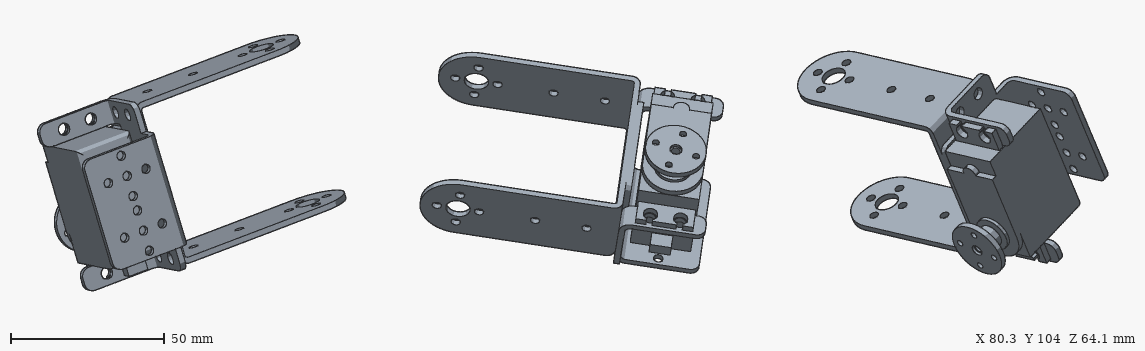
import cadquery as cq
import math

ASSEMBLY_X_AXIS = (-0.4776, 0.2036, 0.8546)
SHAFT_AXIS = (-0.7510, 0.4102, -0.5174)

SHEET = 2.0

U_WIDTH = 56.0
ARM_WIDTH = 25.0
ARM_INNER_BEND = 1.0
ARM_END_HOLE_Y = 53.0
ARM_END_HOLE_DIAMETER = 8.0
ARM_HOLE_DIAMETER = 3.0
ARM_RING_RADIUS = 7.0
ARM_HOLE_Y = (10.5, 27.5)

BRACKET_LENGTH = 58.0
BRACKET_BOTTOM_Z = -16.5
BRACKET_BEND = 2.0
BRACKET_CORNER = 3.0
ROW_Y = -14.4
STEM_WIDTH = 38.2
FLANGE_OUTER_Z = -26.0
FLANGE_END_Y = -28.0
FLANGE_HOLE_DIAMETER = 3.0
FLANGE_ROW_X = (2.5, 9.5, 16.5)
FLANGE_PAIR_X = 9.5
FLANGE_HOLE_PITCH = 7.0
EAR_WIDTH = 8.0
EAR_INNER_Z = 4.5
EAR_HOLE_DIAMETER = 4.0
EAR_HOLE_X = 25.0
EAR_HOLE_PITCH = 10.0
TONGUE_TOP_Z = ARM_WIDTH / 2
TONGUE_CORNER = 2.5
RELIEF_BOTTOM_Z = -0.4
BASE_HOLE_DIAMETER = 4.0
BASE_HOLE_Z = (0.5, -9.5)
STEM_HOLE_X = 10.4
STEM_HOLE_Z = -16.75
STEM_HOLE_DIAMETER = 3.2

SERVO_LENGTH = 41.0
SERVO_WIDTH = 20.0
SERVO_BACK_Z = -14.4
SERVO_FRONT_Z = 14.4
BACK_EDGE_RADIUS = 2.0
RAISED_HEIGHT = 2.0
RAISED_END_X = 14.4
RAISED_NUB_RADIUS = 2.7
TAB_SPAN = 55.8
TAB_WIDTH = 19.0
TAB_THICKNESS = 2.2
TAB_HOLE_DIAMETER = 4.6
TAB_SLOT_WIDTH = 2.0
CABLE_LENGTH = 5.0
CABLE_WIDTH = 7.0
CABLE_BOTTOM_Z = -10.3
CABLE_HEIGHT = 3.9

SHAFT_X = -10.4
BOSS_RADIUS = 6.2
BOSS_HEIGHT = 1.2
SPLINE_RADIUS = 3.0
HUB_RADIUS = 4.15
HUB_GAP = 0.4
HORN_RADIUS = 10.0
HORN_THICKNESS = 2.0
HORN_OUTER_Z = 25.85
HORN_RING_RADIUS = 7.0
HORN_RING_ANGLE = -13.0
HORN_HOLE_DIAMETER = 2.2
SCREW_RECESS_DIAMETER = 3.9
SCREW_RECESS_DEPTH = 1.0
SCREW_HOLE_DIAMETER = 2.8
SCREW_HOLE_DEPTH = 4.0


def block(x_range, y_range, z_range):
    """Box between the given limits."""
    sizes = [high - low for low, high in (x_range, y_range, z_range)]
    corner = (x_range[0], y_range[0], z_range[0])
    return cq.Workplane("XY").box(*sizes, centered=False).translate(corner)


def rod(axis, centre, diameter, length):
    """Cylinder centred on a point, its axis along "X", "Y" or "Z"."""
    plane = {"X": "YZ", "Y": "XZ", "Z": "XY"}[axis]
    return cq.Workplane(plane).circle(diameter / 2).extrude(length / 2, both=True).translate(centre)


def disc(radius, z_range):
    """Disc on the shaft axis."""
    return rod("Z", (SHAFT_X, ROW_Y, sum(z_range) / 2), 2 * radius, z_range[1] - z_range[0])


def u_bracket():
    half = U_WIDTH / 2
    tip_y = ARM_END_HOLE_Y + ARM_WIDTH / 2
    outer_bend = ARM_INNER_BEND + SHEET
    outer = block((-half, half), (0, tip_y), (-ARM_WIDTH / 2, ARM_WIDTH / 2))
    outer = outer.edges("|Z and <Y").fillet(outer_bend)
    inner_half = half - SHEET
    inner = block((-inner_half, inner_half), (SHEET, tip_y + SHEET), (-ARM_WIDTH, ARM_WIDTH))
    inner = inner.edges("|Z and <Y").fillet(ARM_INNER_BEND)
    bracket = outer.cut(inner).edges("|X and >Y").fillet(ARM_WIDTH / 2 - 0.001)

    centres = [(y, 0) for y in ARM_HOLE_Y]
    for step in range(4):
        angle = math.radians(90 * step)
        y = ARM_END_HOLE_Y + ARM_RING_RADIUS * math.cos(angle)
        centres.append((y, ARM_RING_RADIUS * math.sin(angle)))
    bracket = bracket.cut(rod("X", (0, ARM_END_HOLE_Y, 0), ARM_END_HOLE_DIAMETER, 2 * U_WIDTH))
    for y, z in centres:
        bracket = bracket.cut(rod("X", (0, y, z), ARM_HOLE_DIAMETER, 2 * U_WIDTH))
    return bracket


def folded_leaf(x_range, inner_z, end_y, away):
    """Leaf bent from the bracket base towards -y, inner face at inner_z; away is the outward z sign."""
    inner_bend = BRACKET_BEND
    outer_bend = BRACKET_BEND + SHEET
    outer_z = inner_z + away * SHEET
    bend_z = inner_z - away * inner_bend
    bend_y = -outer_bend
    diagonal = math.sqrt(0.5)
    outer_middle = (bend_y + outer_bend * diagonal, bend_z + away * outer_bend * diagonal)
    inner_middle = (bend_y + inner_bend * diagonal, bend_z + away * inner_bend * diagonal)
    profile = (
        cq.Workplane("YZ", origin=(x_range[0], 0, 0))
        .moveTo(0, bend_z)
        .threePointArc(outer_middle, (bend_y, outer_z))
        .lineTo(end_y, outer_z)
        .lineTo(end_y, inner_z)
        .lineTo(bend_y, inner_z)
        .threePointArc(inner_middle, (-SHEET, bend_z))
        .close()
    )
    leaf = profile.extrude(x_range[1] - x_range[0])
    return leaf.edges("|Z and <Y").fillet(BRACKET_CORNER)


def bracket_base():
    half = BRACKET_LENGTH / 2
    stem = STEM_WIDTH / 2
    ear_start = half - EAR_WIDTH
    ear_bend_z = EAR_INNER_Z - BRACKET_BEND
    flange_bend_z = FLANGE_OUTER_Z + SHEET + BRACKET_BEND
    thickness = (-SHEET, 0)
    plate = block((-half, half), thickness, (BRACKET_BOTTOM_Z, ear_bend_z))
    plate = plate.edges("|Y and <Z").fillet(BRACKET_CORNER)
    stem_plate = block((-stem, stem), thickness, (flange_bend_z, 0))
    tongue = block((-stem, stem), thickness, (0, TONGUE_TOP_Z))
    tongue = tongue.edges("|Y and >Z").fillet(TONGUE_CORNER)
    base = plate.union(stem_plate).union(tongue)

    relief_width = ear_start - stem
    relief_middle = (ear_start + stem) / 2
    relief_arc_z = RELIEF_BOTTOM_Z + relief_width / 2
    for side in (-1, 1):
        x = side * relief_middle
        x_range = (x - relief_width / 2, x + relief_width / 2)
        base = base.cut(block(x_range, thickness, (relief_arc_z, TONGUE_TOP_Z)))
        base = base.cut(rod("Y", (x, 0, relief_arc_z), relief_width, 4 * SHEET))
        for z in BASE_HOLE_Z:
            base = base.cut(rod("Y", (side * EAR_HOLE_X, 0, z), BASE_HOLE_DIAMETER, 4 * SHEET))
        stem_hole = rod("Y", (side * STEM_HOLE_X, 0, STEM_HOLE_Z), STEM_HOLE_DIAMETER, 4 * SHEET)
        base = base.cut(stem_hole)
    return base


def flange():
    stem = STEM_WIDTH / 2
    leaf = folded_leaf((-stem, stem), FLANGE_OUTER_Z + SHEET, FLANGE_END_Y, -1)
    centres = []
    for side in (-1, 1):
        centres += [(side * x, ROW_Y) for x in FLANGE_ROW_X]
        centres += [(side * FLANGE_PAIR_X, ROW_Y + shift) for shift in (-FLANGE_HOLE_PITCH, FLANGE_HOLE_PITCH)]
    for x, y in centres:
        leaf = leaf.cut(rod("Z", (x, y, FLANGE_OUTER_Z), FLANGE_HOLE_DIAMETER, 4 * SHEET))
    return leaf


def ear_hole_places(side):
    return [(side * EAR_HOLE_X, ROW_Y + shift) for shift in (-EAR_HOLE_PITCH / 2, EAR_HOLE_PITCH / 2)]


def ear(side):
    outer_x = side * BRACKET_LENGTH / 2
    inner_x = outer_x - side * EAR_WIDTH
    leaf = folded_leaf(sorted((outer_x, inner_x)), EAR_INNER_Z, FLANGE_END_Y, 1)
    for x, y in ear_hole_places(side):
        leaf = leaf.cut(rod("Z", (x, y, EAR_INNER_Z), EAR_HOLE_DIAMETER, 4 * SHEET))
    return leaf


def servo_bracket():
    return bracket_base().union(flange()).union(ear(-1)).union(ear(1))


def servo_tabs():
    tab_z = EAR_INNER_Z + SHEET
    end_x = TAB_SPAN / 2
    z_range = (tab_z, tab_z + TAB_THICKNESS)
    tabs = block((-end_x, end_x), (ROW_Y - TAB_WIDTH / 2, ROW_Y + TAB_WIDTH / 2), z_range)
    for side in (-1, 1):
        for x, y in ear_hole_places(side):
            tabs = tabs.cut(rod("Z", (x, y, tab_z), TAB_HOLE_DIAMETER, 4 * TAB_THICKNESS))
            slot_x = sorted((x, side * (end_x + 1)))
            slot_y = (y - TAB_SLOT_WIDTH / 2, y + TAB_SLOT_WIDTH / 2)
            tabs = tabs.cut(block(slot_x, slot_y, z_range))
    return tabs


def servo_case():
    half = SERVO_LENGTH / 2
    y_range = (ROW_Y - SERVO_WIDTH / 2, ROW_Y + SERVO_WIDTH / 2)
    raised_z = (SERVO_FRONT_Z, SERVO_FRONT_Z + RAISED_HEIGHT)
    raised_middle_z = sum(raised_z) / 2
    case = block((-half, half), y_range, (SERVO_BACK_Z, SERVO_FRONT_Z))
    case = case.faces("<Z").edges().fillet(BACK_EDGE_RADIUS)
    case = case.union(block((SHAFT_X, RAISED_END_X), y_range, raised_z))
    case = case.union(disc(SERVO_WIDTH / 2, raised_z))
    nub_centre = (RAISED_END_X, ROW_Y, raised_middle_z)
    case = case.union(rod("Z", nub_centre, 2 * RAISED_NUB_RADIUS, RAISED_HEIGHT))
    cable_y = (ROW_Y - CABLE_WIDTH / 2, ROW_Y + CABLE_WIDTH / 2)
    cable_z = (CABLE_BOTTOM_Z, CABLE_BOTTOM_Z + CABLE_HEIGHT)
    case = case.union(block((-half - CABLE_LENGTH, -half), cable_y, cable_z))
    return case


def shaft_and_horn():
    raised_top = SERVO_FRONT_Z + RAISED_HEIGHT
    boss_top = raised_top + BOSS_HEIGHT
    horn_inner = HORN_OUTER_Z - HORN_THICKNESS
    shaft = disc(BOSS_RADIUS, (raised_top, boss_top))
    shaft = shaft.union(disc(SPLINE_RADIUS, (boss_top, horn_inner)))
    shaft = shaft.union(disc(HUB_RADIUS, (boss_top + HUB_GAP, horn_inner)))
    shaft = shaft.union(disc(HORN_RADIUS, (horn_inner, HORN_OUTER_Z)))
    for step in range(4):
        angle = math.radians(HORN_RING_ANGLE + 90 * step)
        x = SHAFT_X + HORN_RING_RADIUS * math.cos(angle)
        y = ROW_Y + HORN_RING_RADIUS * math.sin(angle)
        shaft = shaft.cut(rod("Z", (x, y, HORN_OUTER_Z), HORN_HOLE_DIAMETER, 4 * HORN_THICKNESS))
    recess = disc(SCREW_RECESS_DIAMETER / 2, (HORN_OUTER_Z - SCREW_RECESS_DEPTH, HORN_OUTER_Z))
    screw_hole = disc(SCREW_HOLE_DIAMETER / 2, (HORN_OUTER_Z - SCREW_HOLE_DEPTH, HORN_OUTER_Z))
    return shaft.cut(recess).cut(screw_hole)


servo = servo_case().union(servo_tabs()).union(shaft_and_horn())
assembly = u_bracket().union(servo_bracket()).union(servo)
pose = cq.Plane(origin=(0, 0, 0), xDir=ASSEMBLY_X_AXIS, normal=SHAFT_AXIS)
result = cq.Workplane(assembly.val().moved(cq.Location(pose)))